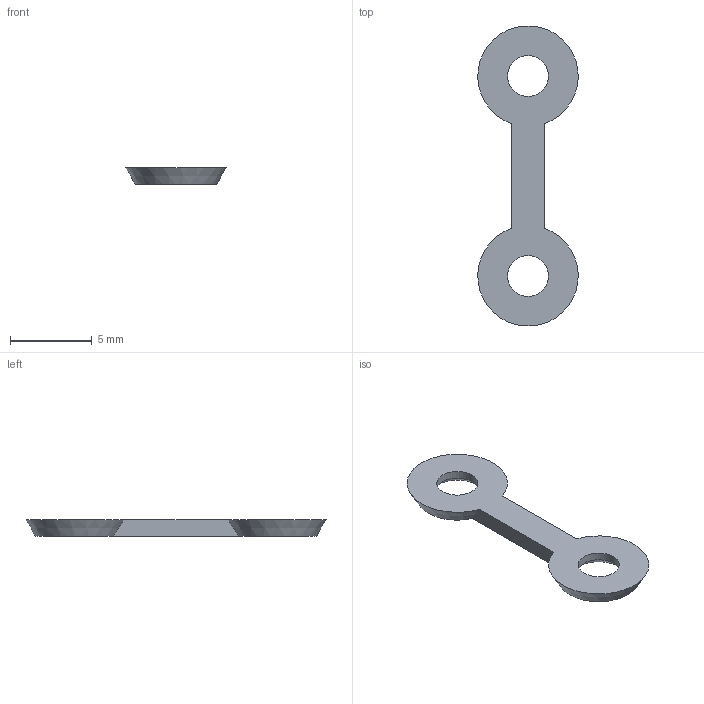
import cadquery as cq
import math

thickness = 1.0
ring_bottom_diameter = 5.0
ring_flare_angle = 30.0
hole_diameter = 2.5
hole_spacing = 12.25
bar_width = 2.0
countersink_depth = 0.5
countersink_angle = 45.0

ring_flare = thickness * math.tan(math.radians(ring_flare_angle))
ring_top_diameter = ring_bottom_diameter + 2 * ring_flare
countersink_flare = countersink_depth * math.tan(math.radians(countersink_angle))
countersink_diameter = hole_diameter + 2 * countersink_flare
ring_centers = [(0, -hole_spacing / 2), (0, hole_spacing / 2)]


def upright_cone(center, bottom_diameter, top_diameter, height):
    """Truncated cone standing on the underside plane of the part."""
    return (
        cq.Workplane("XY")
        .center(*center)
        .circle(bottom_diameter / 2)
        .workplane(offset=height)
        .circle(top_diameter / 2)
        .loft(ruled=True)
    )


def connecting_bar():
    """Straight bar of full thickness running between the ring centers."""
    return cq.Workplane("XY").rect(bar_width, hole_spacing).extrude(thickness)


def ring_blank(center):
    """Solid disc that widens from the underside to the top face."""
    return upright_cone(center, ring_bottom_diameter, ring_top_diameter, thickness)


def countersunk_hole(center):
    """Through hole that flares open at the underside."""
    hole = cq.Workplane("XY").center(*center).circle(hole_diameter / 2).extrude(thickness)
    countersink = upright_cone(center, countersink_diameter, hole_diameter, countersink_depth)
    return hole.union(countersink)


body = connecting_bar()
for ring_center in ring_centers:
    body = body.union(ring_blank(ring_center))
for ring_center in ring_centers:
    body = body.cut(countersunk_hole(ring_center))

result = body